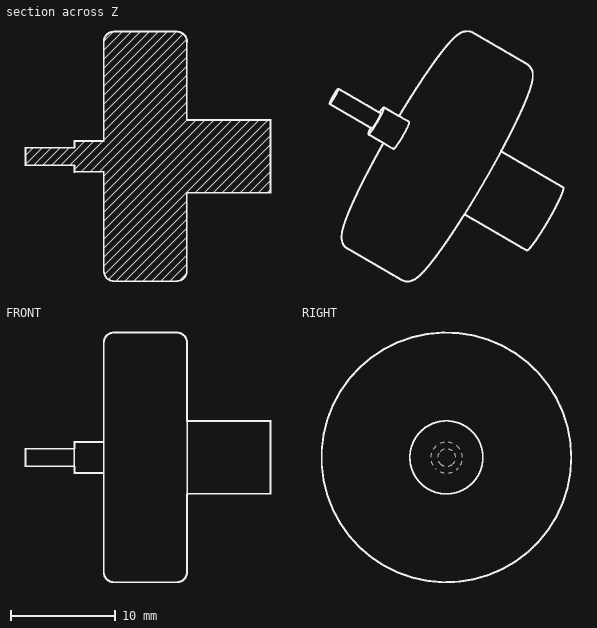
import cadquery as cq

PIN_DIAMETER = 1.7
COLLAR_DIAMETER = 3.0
DISC_DIAMETER = 23.95
HUB_DIAMETER = 7.0

PIN_LENGTH = 4.7
COLLAR_LENGTH = 2.8
DISC_LENGTH = 8.0
HUB_LENGTH = 8.0

DISC_EDGE_RADIUS = 1.0

COLLAR_START = -COLLAR_LENGTH
PIN_START = COLLAR_START - PIN_LENGTH


def cylinder_along_x(start, length, diameter):
    """Solid cylinder on the X axis, running toward +X from start."""
    return cq.Workplane("YZ", origin=(start, 0, 0)).circle(diameter / 2).extrude(length)


def make_disc():
    """Main disc with both rims rounded."""
    disc = cylinder_along_x(0, DISC_LENGTH, DISC_DIAMETER)
    return disc.edges("%CIRCLE").fillet(DISC_EDGE_RADIUS)


pin = cylinder_along_x(PIN_START, PIN_LENGTH, PIN_DIAMETER)
collar = cylinder_along_x(COLLAR_START, COLLAR_LENGTH, COLLAR_DIAMETER)
hub = cylinder_along_x(DISC_LENGTH, HUB_LENGTH, HUB_DIAMETER)

result = make_disc().union(collar).union(pin).union(hub)